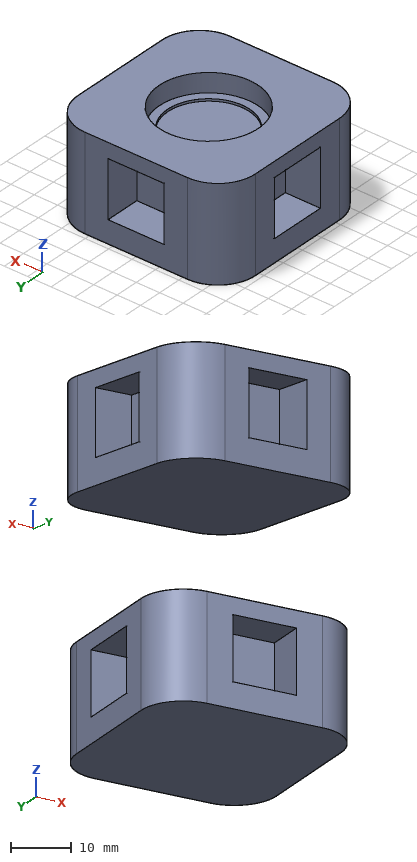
import cadquery as cq

side = 37.87
height = 20.0
corner_radius = 8.0

recess_diameter = 21.0
recess_depth = 4.0
inner_diameter = 17.5
inner_step_depth = 0.5

pocket_size = 12.0
pocket_depth = 7.5
pocket_bottom = 4.8
pocket_center_z = pocket_bottom + pocket_size / 2


def make_block():
    block = cq.Workplane("XY").rect(side, side).extrude(height)
    return block.edges("|Z").fillet(corner_radius)


def make_top_recess():
    inner_depth = recess_depth + inner_step_depth
    top = cq.Workplane("XY", origin=(0, 0, height))
    outer = top.circle(recess_diameter / 2).extrude(-recess_depth)
    inner = top.circle(inner_diameter / 2).extrude(-inner_depth)
    return outer.union(inner)


def make_side_pocket(angle):
    """Pocket cutter for the -Y wall, turned about Z by the given angle."""
    center_y = -(side - pocket_depth) / 2
    pocket = cq.Workplane("XY").box(pocket_size, pocket_depth, pocket_size)
    pocket = pocket.translate((0, center_y, pocket_center_z))
    return pocket.rotate((0, 0, 0), (0, 0, 1), angle)


result = make_block().cut(make_top_recess())
for wall_angle in (0, 90, 180, 270):
    result = result.cut(make_side_pocket(wall_angle))